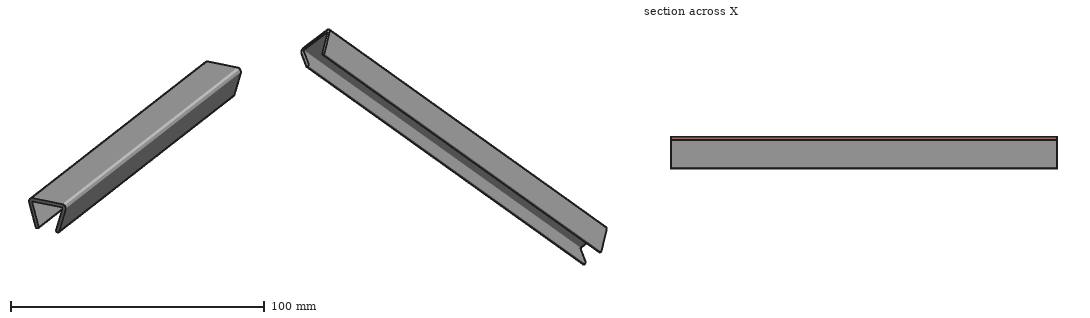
import cadquery as cq
import math

length = 152.4
width = 16.3
height = 12.6

thickness = 1.45
inner_bend_radius = 0.27
outer_bend_radius = inner_bend_radius + thickness
leg_angle = math.radians(16)
tip_radius = thickness / 2

top_z = height / 2
bottom_z = -height / 2
bend_center_x = width / 2 - outer_bend_radius
bend_center_z = top_z - outer_bend_radius


def leg_face_x(z, radius):
    """X of the right leg face tangent to a bend of the given radius, at height z."""
    drop = bend_center_z - z
    return bend_center_x + radius / math.cos(leg_angle) - drop * math.tan(leg_angle)


def leg_tip_point(angle):
    """Point on the right leg's round tip, at an angle from its outward leg normal toward the tip."""
    center_z = bottom_z + tip_radius
    center_x = leg_face_x(center_z, (outer_bend_radius + inner_bend_radius) / 2)
    direction = -leg_angle - angle
    return center_x + tip_radius * math.cos(direction), center_z + tip_radius * math.sin(direction)


def mirrored(point):
    """Mirror image of a section point across the middle plane."""
    return -point[0], point[1]


def round_edges(body, corner, radius):
    """Round the lengthwise edges at a section corner and at its mirror image."""
    x, z = corner
    for side in (-1, 1):
        edge = cq.selectors.NearestToPointSelector((side * x, 0, z))
        body = body.edges("|Y").edges(edge).fillet(radius)
    return body


tip_start = leg_tip_point(0)
tip_middle = leg_tip_point(math.pi / 2)
tip_end = leg_tip_point(math.pi)
inner_top_z = top_z - thickness
outer_corner = (leg_face_x(top_z, outer_bend_radius), top_z)
inner_corner = (leg_face_x(inner_top_z, inner_bend_radius), inner_top_z)

section = (
    cq.Workplane("XZ")
    .moveTo(*outer_corner)
    .lineTo(*tip_start)
    .threePointArc(tip_middle, tip_end)
    .lineTo(*inner_corner)
    .lineTo(*mirrored(inner_corner))
    .lineTo(*mirrored(tip_end))
    .threePointArc(mirrored(tip_middle), mirrored(tip_start))
    .lineTo(*mirrored(outer_corner))
    .close()
)
channel = section.extrude(length / 2, both=True)

channel = round_edges(channel, outer_corner, outer_bend_radius)
channel = round_edges(channel, inner_corner, inner_bend_radius)

result = channel